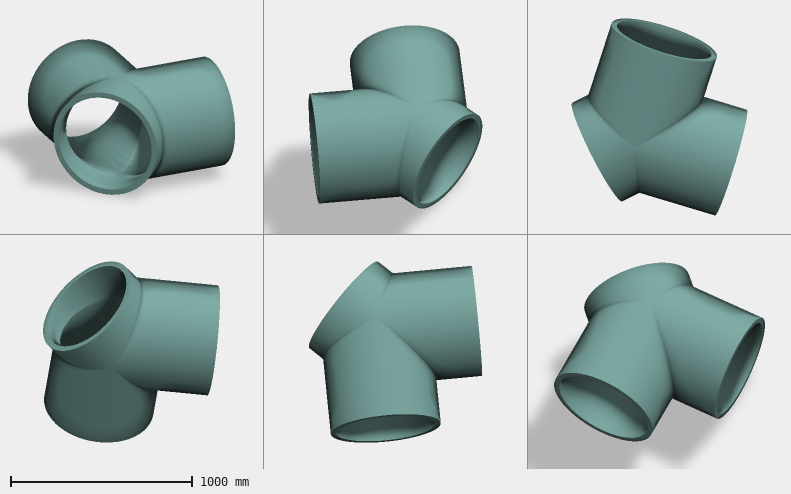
import cadquery as cq
import math

overall_width = 1221.0
overall_depth = 839.0
outer_diameter = 610.0
bore_diameter = 547.0
arm_angle = 45.0

outer_radius = outer_diameter / 2
bore_radius = bore_diameter / 2
sine = math.sin(math.radians(arm_angle))
cosine = math.cos(math.radians(arm_angle))

arm_length = (overall_width / 2 - outer_radius * cosine) / sine
arm_reach = arm_length * cosine + outer_radius * sine
stem_length = overall_depth - arm_reach

legs = [
    (stem_length, cq.Vector(0, -1, 0)),
    (arm_length, cq.Vector(sine, cosine, 0)),
    (arm_length, cq.Vector(-sine, cosine, 0)),
]


def joined_legs(radius):
    """Solid cylinders along all legs, meeting at the origin in mitred seams."""
    stem, right_arm, left_arm = [
        cq.Workplane(cq.Solid.makeCylinder(radius, length, cq.Vector(0, 0, 0), direction))
        for length, direction in legs
    ]
    return stem.union(right_arm).union(left_arm)


result = joined_legs(outer_radius).cut(joined_legs(bore_radius))